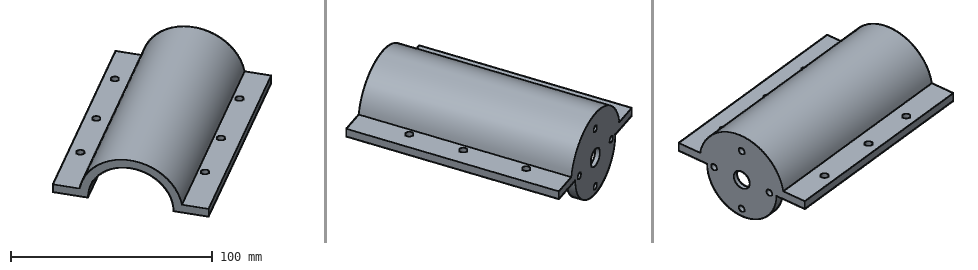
import cadquery as cq

length = 118.2
inner_radius = 22.0
wall = 4.8
outer_radius = inner_radius + wall
flange_span = 80.0
flange_thickness = wall

flange_hole_diameter = 4.1
flange_hole_spacing = 64.0
flange_hole_offset = -2.0
flange_hole_distances = (30.0, 60.0, 95.0)

plate_thickness = 5.2
bore_diameter = 10.0
recess_diameter = 26.0
recess_depth = 2.5
plate_hole_diameter = 3.6
plate_hole_circle_radius = 17.5
plate_hole_count = 4


def cylinder_y(radius, y_start, y_length):
    """Cylinder about the Y axis, running from y_start towards +Y."""
    plane = cq.Workplane("XZ", origin=(0, y_start, 0))
    return plane.circle(radius).extrude(-y_length)


def make_cover():
    """Half pipe with a flat flange along each side."""
    upper_half = cq.Workplane("XY").box(
        flange_span, length, outer_radius, centered=(True, False, False)
    )
    arch = cylinder_y(outer_radius, 0, length).intersect(upper_half)
    flanges = cq.Workplane("XY").box(
        flange_span, length, flange_thickness, centered=(True, False, False)
    )
    return arch.union(flanges).cut(cylinder_y(inner_radius, 0, length))


def cut_flange_holes(body):
    """Drill one row of holes through each flange."""
    rows = [flange_hole_offset + side * flange_hole_spacing / 2 for side in (-1, 1)]
    centres = [(x, y) for x in rows for y in flange_hole_distances]
    holes = (
        cq.Workplane("XY")
        .pushPoints(centres)
        .circle(flange_hole_diameter / 2)
        .extrude(flange_thickness)
    )
    return body.cut(holes)


def make_end_plate():
    """Full disc with a shaft bore, a front recess and a ring of screw holes."""
    front_face = length - plate_thickness
    plate = cylinder_y(inner_radius, front_face, plate_thickness)
    bore = cylinder_y(bore_diameter / 2, front_face, plate_thickness)
    recess = cylinder_y(recess_diameter / 2, front_face, recess_depth)
    screw_holes = (
        cq.Workplane("XZ", origin=(0, front_face, 0))
        .polarArray(plate_hole_circle_radius, 0, 360, plate_hole_count)
        .circle(plate_hole_diameter / 2)
        .extrude(-plate_thickness)
    )
    return plate.cut(bore).cut(recess).cut(screw_holes)


cover = cut_flange_holes(make_cover())
result = cover.union(make_end_plate())